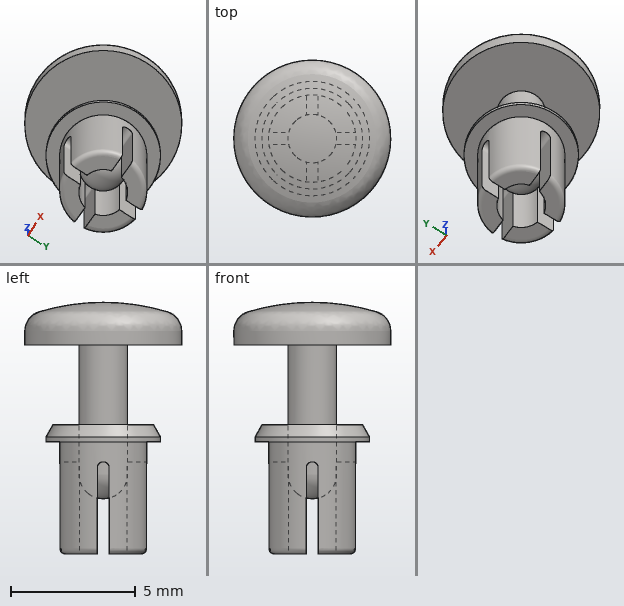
import cadquery as cq
import math

TOTAL_HEIGHT = 10.1

BODY_DIAMETER = 3.5
BODY_HEIGHT = 4.49
TIP_FILLET = 0.22
FLANGE_DIAMETER = 4.6
FLANGE_TOP_DIAMETER = 4.04
FLANGE_RIM_HEIGHT = 0.2
FLANGE_THICKNESS = 0.7
SLOT_WIDTH = 0.47
SLOT_TOP = 3.7

PIN_DIAMETER = 1.95
PIN_TIP_HEIGHT = 2.21
HEAD_DIAMETER = 6.3
HEAD_BOTTOM = 8.38
DOME_RADIUS = 8.89
HEAD_FILLET = 0.81

body_radius = BODY_DIAMETER / 2
flange_radius = FLANGE_DIAMETER / 2
flange_top_radius = FLANGE_TOP_DIAMETER / 2
flange_rim_top = BODY_HEIGHT + FLANGE_RIM_HEIGHT
housing_height = BODY_HEIGHT + FLANGE_THICKNESS
pin_radius = PIN_DIAMETER / 2
head_radius = HEAD_DIAMETER / 2


def make_slot():
    """Round-topped slot, open at the bottom, running across the housing along Y."""
    slot_radius = SLOT_WIDTH / 2
    arc_center = SLOT_TOP - slot_radius
    return (
        cq.Workplane("XZ")
        .moveTo(-slot_radius, 0)
        .lineTo(slot_radius, 0)
        .lineTo(slot_radius, arc_center)
        .threePointArc((0, SLOT_TOP), (-slot_radius, arc_center))
        .close()
        .extrude(body_radius, both=True)
    )


def make_housing():
    """Flanged sleeve with a through bore and two crossed slots that form four legs."""
    barrel = cq.Workplane("XY").circle(body_radius).extrude(BODY_HEIGHT)
    barrel = barrel.faces("<Z").edges().fillet(TIP_FILLET)
    flange = (
        cq.Workplane("XZ")
        .moveTo(0, BODY_HEIGHT)
        .lineTo(flange_radius, BODY_HEIGHT)
        .lineTo(flange_radius, flange_rim_top)
        .lineTo(flange_top_radius, housing_height)
        .lineTo(0, housing_height)
        .close()
        .revolve()
    )
    bore = cq.Workplane("XY").circle(pin_radius).extrude(housing_height)
    sleeve = barrel.union(flange).cut(bore)
    for angle in (0, 90):
        sleeve = sleeve.cut(make_slot().rotate((0, 0, 0), (0, 0, 1), angle))
    return sleeve


def dome_height(radius):
    """Height of the spherical dome at a distance from the pin axis."""
    return TOTAL_HEIGHT - DOME_RADIUS + math.sqrt(DOME_RADIUS**2 - radius**2)


def make_head():
    """Domed disc with a rounded upper edge."""
    mid_radius = head_radius / 2
    head = (
        cq.Workplane("XZ")
        .moveTo(0, HEAD_BOTTOM)
        .lineTo(head_radius, HEAD_BOTTOM)
        .lineTo(head_radius, dome_height(head_radius))
        .threePointArc((mid_radius, dome_height(mid_radius)), (0, TOTAL_HEIGHT))
        .close()
        .revolve()
    )
    return head.faces("%CYLINDER").edges(">Z").fillet(HEAD_FILLET)


def make_pin():
    """Round shank with a hemispherical tip, carrying the domed head."""
    sphere_center = PIN_TIP_HEIGHT + pin_radius
    arc_offset = pin_radius * math.sqrt(0.5)
    shank = (
        cq.Workplane("XZ")
        .moveTo(0, PIN_TIP_HEIGHT)
        .threePointArc((arc_offset, sphere_center - arc_offset), (pin_radius, sphere_center))
        .lineTo(pin_radius, HEAD_BOTTOM)
        .lineTo(0, HEAD_BOTTOM)
        .close()
        .revolve()
    )
    return shank.union(make_head())


housing = make_housing()
pin = make_pin()

result = cq.Compound.makeCompound([*housing.solids().vals(), *pin.solids().vals()])